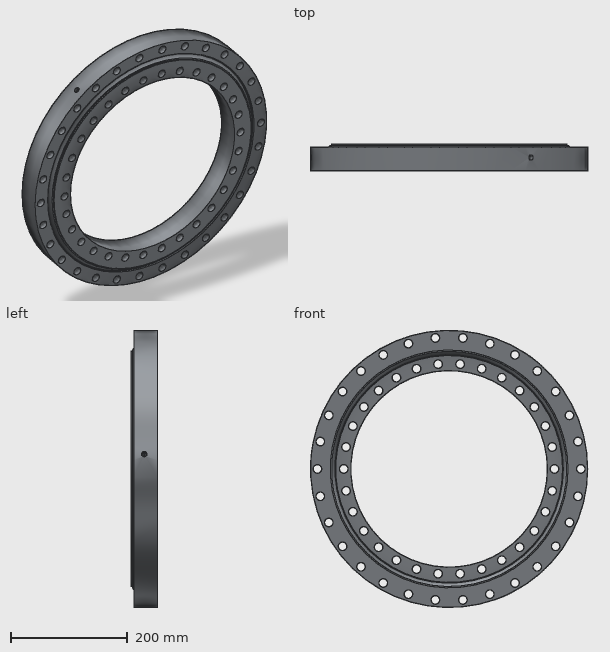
import cadquery as cq
import math


outer_radius = 237.0
bore_radius = 168.0
ring_height = 41.0
total_height = 46.0
middle_radius = (outer_radius + bore_radius) / 2
middle_height = total_height / 2

bolt_count = 30
bolt_diameter = 14.0
outer_bolt_radius = 225.0
inner_bolt_radius = 180.0

ring_gap = 2.0
outer_wall_radius = middle_radius + ring_gap / 2
groove_depth = 5.0
groove_floor_width = 1.5
groove_half_floor = groove_floor_width / 2
groove_half_mouth = groove_half_floor + groove_depth

seal_set_back = 3.0
seal_bevel_height = 4.7
seal_tip_height = 1.5
seal_face_radius = 201.0
seal_tip_radius = 195.5
seal_tip_set_back = seal_set_back + seal_bevel_height
seal_back = seal_tip_set_back + seal_tip_height

seal_clearance = 1.5
inner_neck_radius = seal_tip_radius - seal_clearance

grease_hole_count = 3
grease_hole_diameter = 9.0
grease_hole_first_angle = 53.8


def half_turn(profile):
    """Turn (radius, y) points half round about the middle of the gap."""
    return [(2 * middle_radius - radius, total_height - y) for radius, y in profile]


def revolve_about_y(profile):
    """Revolve a closed outline of (radius, y) points about the Y axis."""
    return cq.Workplane("XY").polyline(profile).close().revolve(360, (0, 0, 0), (0, 1, 0))


def outer_ring_profile():
    outer_neck_radius = 2 * middle_radius - inner_neck_radius
    groove_floor_radius = outer_wall_radius + groove_depth
    return [
        (outer_radius, 0),
        (outer_wall_radius, 0),
        (outer_wall_radius, middle_height - groove_half_mouth),
        (groove_floor_radius, middle_height - groove_half_floor),
        (groove_floor_radius, middle_height + groove_half_floor),
        (outer_wall_radius, middle_height + groove_half_mouth),
        (outer_wall_radius, total_height - seal_back),
        (outer_neck_radius, total_height - seal_back),
        (outer_neck_radius, ring_height),
        (outer_radius, ring_height),
    ]


def lower_seal_profile():
    """Flat face against the outer ring's wall, then a bevel down to the tip."""
    return [
        (outer_wall_radius, seal_set_back),
        (seal_face_radius, seal_set_back),
        (seal_tip_radius, seal_tip_set_back),
        (seal_tip_radius, seal_back),
        (outer_wall_radius, seal_back),
    ]


def bolt_holes(circle_radius):
    """Cutters for a full circle of bolt holes parallel to Y."""
    return (
        cq.Workplane("XZ")
        .polarArray(circle_radius, 0, 360, bolt_count)
        .circle(bolt_diameter / 2)
        .extrude(-total_height)
    )


def grease_hole(angle):
    """Cutter running inward from the outer ring's rim to the gap."""
    x_share = math.cos(math.radians(angle))
    z_share = math.sin(math.radians(angle))
    rim = cq.Plane(
        origin=(outer_radius * x_share, middle_height, outer_radius * z_share),
        xDir=(0, 1, 0),
        normal=(-x_share, 0, -z_share),
    )
    depth = outer_radius - middle_radius
    return cq.Workplane(rim).circle(grease_hole_diameter / 2).extrude(depth)


def make_outer_ring():
    ring = revolve_about_y(outer_ring_profile()).cut(bolt_holes(outer_bolt_radius))
    for i in range(grease_hole_count):
        angle = grease_hole_first_angle + i * 360 / grease_hole_count
        ring = ring.cut(grease_hole(angle))
    return ring


def make_inner_ring():
    ring = revolve_about_y(half_turn(outer_ring_profile()))
    return ring.cut(bolt_holes(inner_bolt_radius))


def make_lower_seal():
    return revolve_about_y(lower_seal_profile())


def make_upper_seal():
    return revolve_about_y(half_turn(lower_seal_profile()))


outer_ring = make_outer_ring()
inner_ring = make_inner_ring()
lower_seal = make_lower_seal()
upper_seal = make_upper_seal()

result = cq.Compound.makeCompound(
    [outer_ring.val(), inner_ring.val(), lower_seal.val(), upper_seal.val()]
)